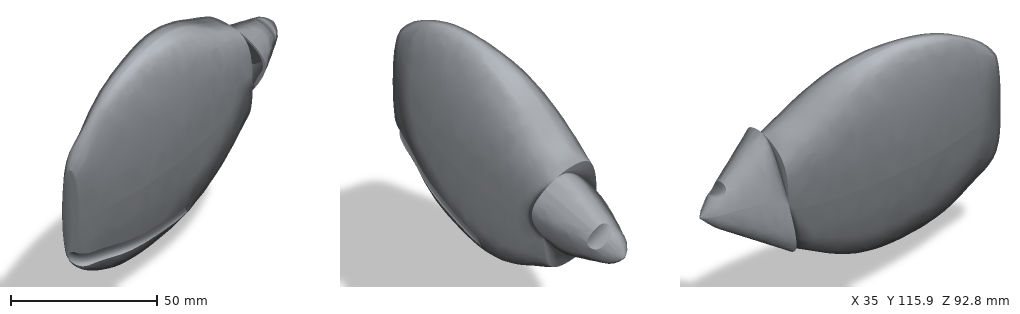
import cadquery as cq
import math

back_y = -88.0
tip_y = 27.9

disc_radius = 46.4
disc_y = -47.2
flank_angle = math.radians(36.5)
flank_start_y = disc_y + disc_radius * math.sin(flank_angle)

max_half_width = 15.2
widest_y = -30.4
plan_radius = 150.7

ellipse_fullness = 0.55
joint_fullness = 0.8
body_blend_length = 48.7
cap_blend_length = 32.5

back_fillet = 1.0
body_sections = 10
cord_groove_radius = 3.6
cord_groove_start = (2.2, -90.4, -19.5)
cord_groove_middle = (6.6, -74.2, -25.5)
cord_groove_end = (12.5, -34.8, -32.8)

cap_twist = 30.0
cap_wall = 1.0
cavity_depth = 15.1
cavity_sections = 4
tip_rounding = 5.6
tip_flat_scale = 0.2
cap_sections = 14
grip_groove_radius = 3.5
grip_groove_length = 34.8
grip_groove_y = 21.1
grip_groove_z = 9.4


def half_height(y):
    """Half height of the pebble at Y, before the tip is rounded."""
    offset = y - disc_y
    if y < flank_start_y:
        return math.sqrt(disc_radius**2 - offset**2)
    return (disc_radius - offset * math.sin(flank_angle)) / math.cos(flank_angle)


def half_width(y):
    """Half width of the pebble at Y, before the tip is rounded."""
    sagitta = plan_radius - math.sqrt(plan_radius**2 - (y - widest_y) ** 2)
    return max_half_width - sagitta


def fullness(y):
    """Sections are fullest at the joint and fade to plain ellipses on both sides."""
    blend_length = cap_blend_length if y > 0 else body_blend_length
    blend = max(0.0, 1.0 - abs(y) / blend_length)
    return ellipse_fullness + (joint_fullness - ellipse_fullness) * blend


def tip_scale(y):
    """Elliptical shrinking of the sections that rounds the tip to a small flat."""
    depth = max(0.0, (y - tip_y) / tip_rounding + 1.0)
    return max(tip_flat_scale, math.sqrt(1.0 - depth**2))


def section(y, scale=1.0, inset=0.0):
    """Closed oval across the Y axis, made of four Bezier quarters."""
    width = half_width(y) * scale - inset
    height = half_height(y) * scale - inset
    handle = fullness(y)
    quarters = []
    for sx, sz in ((1, 1), (-1, 1), (-1, -1), (1, -1)):
        points = [
            cq.Vector(sx * width, y, 0),
            cq.Vector(sx * width, y, sz * height * handle),
            cq.Vector(sx * width * handle, y, sz * height),
            cq.Vector(0, y, sz * height),
        ]
        if sx * sz < 0:
            points.reverse()
        quarters.append(cq.Edge.makeBezier(points))
    return cq.Wire.assembleEdges(quarters)


def even_steps(start, end, count):
    """Evenly spaced values from start to end, both included."""
    return [start + (end - start) * i / (count - 1) for i in range(count)]


def cord_groove():
    """Bent round bar that leaves the back end and follows the surface to the +X side."""
    points = [cq.Vector(*p) for p in (cord_groove_start, cord_groove_middle, cord_groove_end)]
    path = cq.Edge.makeThreePointArc(*points)
    across_path = cq.Plane(origin=cord_groove_start, normal=path.tangentAt(0).toTuple())
    return cq.Workplane(across_path).circle(cord_groove_radius).sweep(cq.Workplane(path))


def make_body():
    """Main pebble with a flat, rounded-over back end and a cord groove."""
    sections = [section(y) for y in even_steps(back_y, 0, body_sections)]
    body = cq.Workplane(cq.Solid.makeLoft(sections))
    body = body.faces("<Y").edges().fillet(back_fillet)
    return body.cut(cord_groove())


def make_cap():
    """Hollow pointed cap, twisted about Y relative to the body."""
    angles = even_steps(0, math.pi / 2, cap_sections)
    cap_stations = [tip_y * math.sin(angle) for angle in angles]
    cap = cq.Workplane(cq.Solid.makeLoft([section(y, tip_scale(y)) for y in cap_stations]))

    cavity_stations = even_steps(0, cavity_depth, cavity_sections)
    cavity = cq.Solid.makeLoft([section(y, inset=cap_wall) for y in cavity_stations])
    cap = cap.cut(cq.Workplane(cavity))

    groove = cq.Solid.makeCylinder(
        grip_groove_radius,
        grip_groove_length,
        cq.Vector(-grip_groove_length / 2, grip_groove_y, grip_groove_z),
        cq.Vector(1, 0, 0),
    )
    cap = cap.cut(cq.Workplane(groove))
    return cap.rotate((0, 0, 0), (0, 1, 0), cap_twist)


body = make_body()
cap = make_cap()

result = cq.Compound.makeCompound([body.solids().val(), cap.solids().val()])